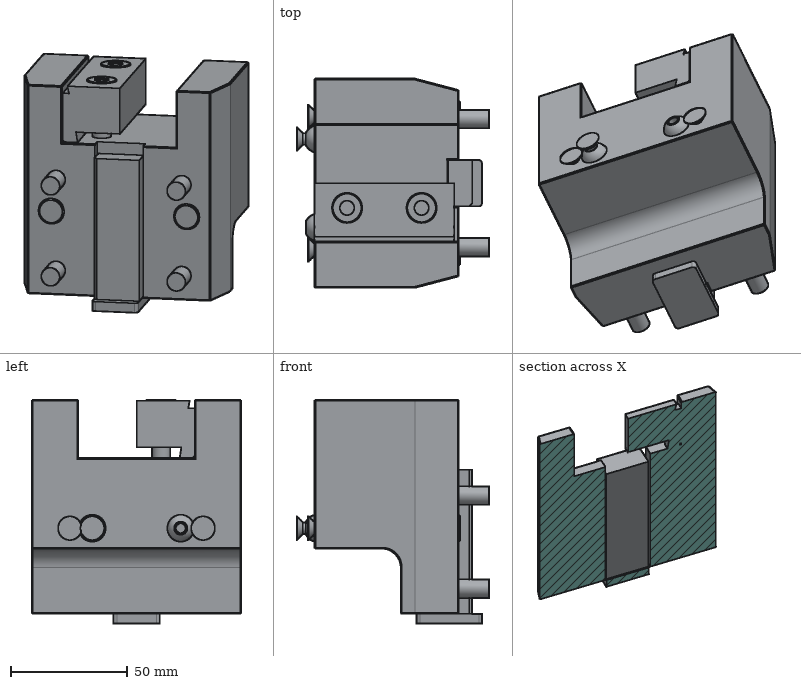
import cadquery as cq

BODY_LENGTH = 62.0
BODY_WIDTH = 90.0
BODY_HEIGHT = 92.0
STEP_X = 37.0
STEP_Z = 28.0
STEP_RADIUS = 8.0
TAPER_START_X = 43.0
TAPER_INSET = 5.0
EDGE_CHAMFER = 0.5

SLOT_HALF_WIDTH = 25.0
SLOT_DEPTH = 25.0
SLOT_FLOOR_Z = BODY_HEIGHT - SLOT_DEPTH

JAW_LENGTH = 60.0
JAW_TOP_Z = BODY_HEIGHT - 0.4
JAW_BOTTOM_Z = 71.5
JAW_LEDGE_Z = 88.4
JAW_LEDGE_LEAN = 0.6
JAW_LIP_Y = -22.9
JAW_FOOT_TOP_Y = -19.2
JAW_FOOT_BOTTOM_Y = -18.5
JAW_CORNER_CHAMFER = 0.7

SCREW_Y = -10.6
SCREW_XS = (14.0, 46.0)
SCREW_SHANK_DIAMETER = 8.0
SCREW_HEAD_DIAMETER = 13.0
SCREW_HEAD_CHAMFER = 0.4
SCREW_SOCKET_DIAMETER = 6.2
SCREW_SOCKET_DEPTH = 0.5

GROOVE_HALF_WIDTH = 10.5
GROOVE_BOTTOM_X = 57.0
FOOT_HALF_WIDTH = 10.0
UPRIGHT_HALF_WIDTH = 9.9
KEY_FRONT_X = 57.5
KEY_BACK_X = 67.7
KEY_TOP_Z = 62.0
KEY_CORNER = 1.2
FOOT_FRONT_X = 43.8
FOOT_BACK_X = 72.0
FOOT_THICKNESS = 4.22
FOOT_CORNER_RADIUS = 1.5

PIN_DIAMETER = 8.0
PIN_END_X = 75.0
PIN_HALF_SPACING_Y = 27.5
PIN_ZS = (10.8, 50.8)

NOZZLE_Z = 36.8
BALL_Y = 19.0
BALL_RADIUS = 6.0
BALL_CENTRE_X = 1.6
BALL_FLAT_X = -3.7
BALL_BORE_RADIUS = 2.1
BALL_BORE_DEPTH = 3.0
FLARE_RADIUS = 5.1
NECK_RADIUS = 2.5
FLARE_LENGTH = FLARE_RADIUS - NECK_RADIUS
LONG_FLARE_X = -7.55
SHORT_FLARE_Y = 28.6
SHORT_FLARE_X = -2.9
SHORT_FLARE_RIM = 0.35
PLUG_Y = 29.6
PLUG_RADIUS = 5.6
PLUG_HEIGHT = 0.7
PLUG_CHAMFER = 0.6
EMBED = 3.0


def box(x0, x1, y0, y1, z0, z1):
    """Box between two corner coordinates on each axis."""
    return cq.Workplane("XY").box(x1 - x0, y1 - y0, z1 - z0, centered=False).translate((x0, y0, z0))


def cylinder_x(radius, x0, x1, y, z):
    """Cylinder along X from x0 to x1."""
    return cq.Workplane("YZ", origin=(x0, y, z)).circle(radius).extrude(x1 - x0)


def make_body():
    half_width = BODY_WIDTH / 2
    side_profile = (
        cq.Workplane("XZ", origin=(0, half_width, 0))
        .moveTo(0, BODY_HEIGHT)
        .lineTo(BODY_LENGTH, BODY_HEIGHT)
        .lineTo(BODY_LENGTH, 0)
        .lineTo(STEP_X, 0)
        .lineTo(STEP_X, STEP_Z - STEP_RADIUS)
        .radiusArc((STEP_X - STEP_RADIUS, STEP_Z), -STEP_RADIUS)
        .lineTo(0, STEP_Z)
        .close()
        .extrude(BODY_WIDTH)
    )
    plan = (
        cq.Workplane("XY")
        .polyline([
            (0, -half_width),
            (TAPER_START_X, -half_width),
            (BODY_LENGTH, -half_width + TAPER_INSET),
            (BODY_LENGTH, half_width - TAPER_INSET),
            (TAPER_START_X, half_width),
            (0, half_width),
        ])
        .close()
        .extrude(BODY_HEIGHT)
    )
    slot = box(0, BODY_LENGTH, -SLOT_HALF_WIDTH, SLOT_HALF_WIDTH, SLOT_FLOOR_Z, BODY_HEIGHT)
    body = side_profile.intersect(plan).cut(slot)
    outer_edges = body.faces("<X or >X or >Z or <Z").edges()
    step_zone = cq.selectors.BoxSelector(
        (0, -BODY_WIDTH, EDGE_CHAMFER),
        (TAPER_START_X, BODY_WIDTH, SLOT_FLOOR_Z),
    )
    step_edges = body.faces("<Y or >Y").edges(step_zone).edges("not(|Z and >X)")
    body = outer_edges.add(step_edges).chamfer(EDGE_CHAMFER)
    groove = box(GROOVE_BOTTOM_X, BODY_LENGTH, -GROOVE_HALF_WIDTH, GROOVE_HALF_WIDTH, 0, SLOT_FLOOR_Z)
    return body.cut(groove)


def make_jaw():
    wall_y = -SLOT_HALF_WIDTH
    return (
        cq.Workplane("YZ")
        .polyline([
            (0, JAW_BOTTOM_Z),
            (0, JAW_TOP_Z),
            (JAW_LIP_Y, JAW_TOP_Z),
            (JAW_LIP_Y + JAW_LEDGE_LEAN, JAW_LEDGE_Z),
            (wall_y, JAW_LEDGE_Z),
            (wall_y, SLOT_FLOOR_Z + JAW_CORNER_CHAMFER),
            (wall_y + JAW_CORNER_CHAMFER, SLOT_FLOOR_Z),
            (JAW_FOOT_BOTTOM_Y, SLOT_FLOOR_Z),
            (JAW_FOOT_TOP_Y, JAW_BOTTOM_Z),
        ])
        .close()
        .extrude(JAW_LENGTH)
    )


def make_screw(x):
    shank = (
        cq.Workplane("XY", origin=(x, SCREW_Y, SLOT_FLOOR_Z))
        .circle(SCREW_SHANK_DIAMETER / 2)
        .extrude(JAW_BOTTOM_Z - SLOT_FLOOR_Z)
    )
    head = (
        cq.Workplane("XY", origin=(x, SCREW_Y, JAW_BOTTOM_Z))
        .circle(SCREW_HEAD_DIAMETER / 2)
        .extrude(BODY_HEIGHT - JAW_BOTTOM_Z)
        .faces(">Z").edges().chamfer(SCREW_HEAD_CHAMFER)
    )
    return shank.union(head)


def make_screw_socket(x):
    return (
        cq.Workplane("XY", origin=(x, SCREW_Y, BODY_HEIGHT - SCREW_SOCKET_DEPTH))
        .circle(SCREW_SOCKET_DIAMETER / 2)
        .extrude(SCREW_SOCKET_DEPTH)
    )


def make_key():
    upright = box(KEY_FRONT_X, KEY_BACK_X, -UPRIGHT_HALF_WIDTH, UPRIGHT_HALF_WIDTH, 0, KEY_TOP_Z)
    upright = upright.edges("|Z and >X and <Y").chamfer(KEY_CORNER)
    foot = box(FOOT_FRONT_X, FOOT_BACK_X, -FOOT_HALF_WIDTH, FOOT_HALF_WIDTH, -FOOT_THICKNESS, 0)
    foot = foot.edges("|Z").fillet(FOOT_CORNER_RADIUS)
    return upright.union(foot)


def make_ball(y):
    ball = cq.Workplane("XY").sphere(BALL_RADIUS).translate((BALL_CENTRE_X, y, NOZZLE_Z))
    keep = cylinder_x(BALL_RADIUS, BALL_FLAT_X, EMBED, y, NOZZLE_Z)
    return ball.intersect(keep)


def make_ball_bore(y):
    return cylinder_x(BALL_BORE_RADIUS, BALL_FLAT_X, BALL_FLAT_X + BALL_BORE_DEPTH, y, NOZZLE_Z)


def make_flare(tip_x, y):
    """Cone opening toward -X, with a neck running back into the block."""
    neck_x = tip_x + FLARE_LENGTH
    cone = cq.Workplane("XY").add(
        cq.Solid.makeCone(
            FLARE_RADIUS,
            NECK_RADIUS,
            FLARE_LENGTH,
            cq.Vector(tip_x, y, NOZZLE_Z),
            cq.Vector(1, 0, 0),
        )
    )
    return cone.union(cylinder_x(NECK_RADIUS, neck_x, EMBED, y, NOZZLE_Z))


def make_short_flare(y):
    """Flare set close to the block, with a straight rim around its mouth."""
    cone_x = SHORT_FLARE_X + SHORT_FLARE_RIM
    rim = cylinder_x(FLARE_RADIUS, SHORT_FLARE_X, cone_x, y, NOZZLE_Z)
    return rim.union(make_flare(cone_x, y))


def make_plug(y):
    plug = cylinder_x(PLUG_RADIUS, BODY_LENGTH - EMBED, BODY_LENGTH + PLUG_HEIGHT, y, NOZZLE_Z)
    return plug.faces(">X").edges().chamfer(PLUG_CHAMFER)


result = make_body().union(make_jaw()).union(make_key())

for screw_x in SCREW_XS:
    result = result.union(make_screw(screw_x)).cut(make_screw_socket(screw_x))

for side in (-1, 1):
    result = result.union(make_ball(side * BALL_Y))
    result = result.union(make_short_flare(side * SHORT_FLARE_Y))
    result = result.union(make_plug(side * PLUG_Y))
    for pin_z in PIN_ZS:
        pin = cylinder_x(
            PIN_DIAMETER / 2, BODY_LENGTH - EMBED, PIN_END_X, side * PIN_HALF_SPACING_Y, pin_z
        )
        result = result.union(pin)

result = result.cut(make_ball_bore(-BALL_Y))
result = result.union(make_flare(LONG_FLARE_X, BALL_Y))